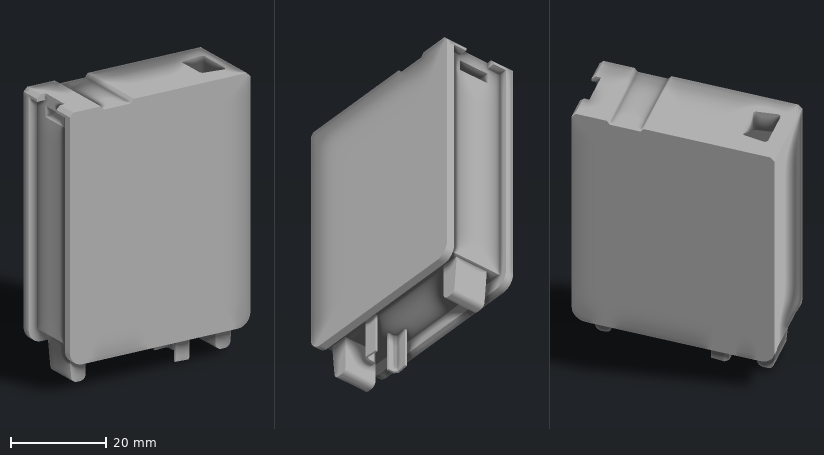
import cadquery as cq

width = 18.0
length = 45.0
height = 63.45
housing_bottom = 6.4
bottom_radius = 3.2
top_chamfer = 0.9
front_y = -length / 2
back_y = length / 2

dip_front = front_y + 7.75
dip_back = front_y + 16.0
dip_depth = 0.9
dip_run = 0.75

recess_width = 14.1
recess_depth = 2.1
lip_height = 1.5
underside_depth = 3.05
core_bottom = housing_bottom + underside_depth
notch_width = 7.5

slot_top = height - 2.85
slot_bottom = height - 5.3
slot_depth = 3.8
slot_floor_rise = 0.7

socket_back = back_y - 3.1
socket_length = 5.9
socket_back_width = 9.5
socket_front_width = 7.85
socket_depth = 5.1
socket_radius = 0.75

leg_width = 8.2
leg_tip = 0.5
leg_shoulder = core_bottom - 1.0
leg_taper = 1.2
leg_tip_radius = 1.4
front_leg_outer = front_y + 2.85
front_leg_inner = front_y + 7.1
back_leg_outer = back_y - 1.2
back_leg_inner = back_y - 5.5

terminal_back = back_y - 11.85
terminal_length = 3.8
terminal_outer = 4.5
terminal_inner = 1.9
terminal_lean = 0.25
terminal_bend = 0.75
terminal_sheet = 0.5

embed = 0.65


def box(x_size, y_min, y_max, z_min, z_max):
    """Box centred on X between the given Y and Z limits."""
    return (
        cq.Workplane("XY")
        .box(x_size, y_max - y_min, z_max - z_min, centered=(True, False, False))
        .translate((0, y_min, z_min))
    )


def side_profile(points, x_size):
    """Extrude a (Y, Z) outline symmetrically along X."""
    return cq.Workplane("YZ").polyline(points).close().extrude(x_size / 2, both=True)


def make_housing():
    body = box(width, front_y, back_y, housing_bottom, height)
    body = body.edges("|X and <Z").fillet(bottom_radius)
    body = body.edges("|X and >Z").chamfer(top_chamfer)
    dip_floor = height - dip_depth
    dip = side_profile(
        [
            (dip_front, height),
            (dip_front + dip_run, dip_floor),
            (dip_back - dip_run, dip_floor),
            (dip_back, height),
        ],
        width,
    )
    return body.cut(dip)


def cut_front_recess(body):
    recess_back = front_y + recess_depth
    recess = box(recess_width, front_y, recess_back, housing_bottom, height - lip_height)
    notch = box(notch_width, front_y, recess_back, height - lip_height, height)
    underside = box(recess_width, front_y, back_y, housing_bottom, core_bottom)
    return body.cut(recess).cut(notch).cut(underside)


def cut_latch_slot(body):
    mouth = front_y + recess_depth
    slot_back = mouth + slot_depth
    slot = side_profile(
        [
            (mouth, slot_bottom),
            (slot_back, slot_bottom + slot_floor_rise),
            (slot_back, slot_top),
            (mouth, slot_top),
        ],
        notch_width,
    )
    return body.cut(slot)


def cut_socket(body):
    socket_front = socket_back - socket_length
    plan = [
        (-socket_back_width / 2, socket_back),
        (socket_back_width / 2, socket_back),
        (socket_front_width / 2, socket_front),
        (-socket_front_width / 2, socket_front),
    ]
    floor = cq.Workplane("XY").workplane(offset=height - socket_depth)
    socket = floor.polyline(plan).close().extrude(socket_depth)
    return body.cut(socket.edges("|Z").fillet(socket_radius))


def make_leg(outer, inner):
    """Leg with a straight inner face, a tapered outer face and a rounded tip."""
    towards_inner = 0.65 if inner > outer else -0.65
    leg = side_profile(
        [
            (inner, core_bottom + embed),
            (inner, leg_tip),
            (outer + towards_inner * leg_taper, leg_tip),
            (outer, leg_shoulder),
            (outer, core_bottom + embed),
        ],
        leg_width,
    )
    return leg.edges("|X and <Z").fillet(leg_tip_radius)


def make_terminal(side):
    """Sheet terminal: a side blade, a 45 degree bend and a rear flange turned inwards."""
    terminal_front = terminal_back - terminal_length
    bend_front = terminal_back - terminal_bend
    front_outer = terminal_outer - terminal_lean
    inner_bend = terminal_bend - terminal_sheet / 2
    flange_front = terminal_back - terminal_sheet
    plan = [
        (front_outer, terminal_front),
        (terminal_outer, bend_front),
        (terminal_outer - terminal_bend, terminal_back),
        (terminal_inner, terminal_back),
        (terminal_inner, flange_front),
        (terminal_outer - terminal_sheet - inner_bend, flange_front),
        (terminal_outer - terminal_sheet, flange_front - inner_bend),
        (front_outer - terminal_sheet, terminal_front),
    ]
    plan = [(side * x, y) for x, y in plan]
    return cq.Workplane("XY").polyline(plan).close().extrude(core_bottom + embed)


result = make_housing()
result = cut_front_recess(result)
result = cut_latch_slot(result)
result = cut_socket(result)
for outer_y, inner_y in ((front_leg_outer, front_leg_inner), (back_leg_outer, back_leg_inner)):
    result = result.union(make_leg(outer_y, inner_y))
for side in (-1, 1):
    result = result.union(make_terminal(side))